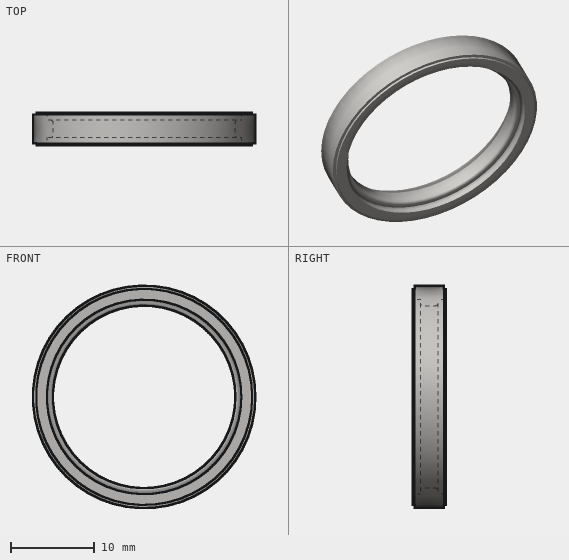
import cadquery as cq

outer_diameter = 26.8
shoulder_diameter = 26.0
counterbore_diameter = 23.4
bore_diameter = 21.92
width = 4.0
shoulder_length = 0.25
counterbore_depth = 0.94
lip_round_radius = 0.34

lip_width = width - 2 * counterbore_depth


def centred_disc(diameter, length):
    """Solid cylinder along Y, centred on the origin."""
    return cq.Workplane("XZ").cylinder(length, diameter / 2)


def make_outer_body():
    """Full-diameter band with a smaller shoulder projecting at each end."""
    band = centred_disc(outer_diameter, width - 2 * shoulder_length)
    return band.union(centred_disc(shoulder_diameter, width))


def make_inner_lip():
    """Ring inside the band whose two bore edges are rounded."""
    lip = centred_disc(counterbore_diameter, lip_width).cut(centred_disc(bore_diameter, lip_width))
    bore_edges = cq.selectors.RadiusNthSelector(0)
    return lip.edges("%CIRCLE").edges(bore_edges).fillet(lip_round_radius)


through_opening = centred_disc(counterbore_diameter, width)
result = make_outer_body().cut(through_opening).union(make_inner_lip())